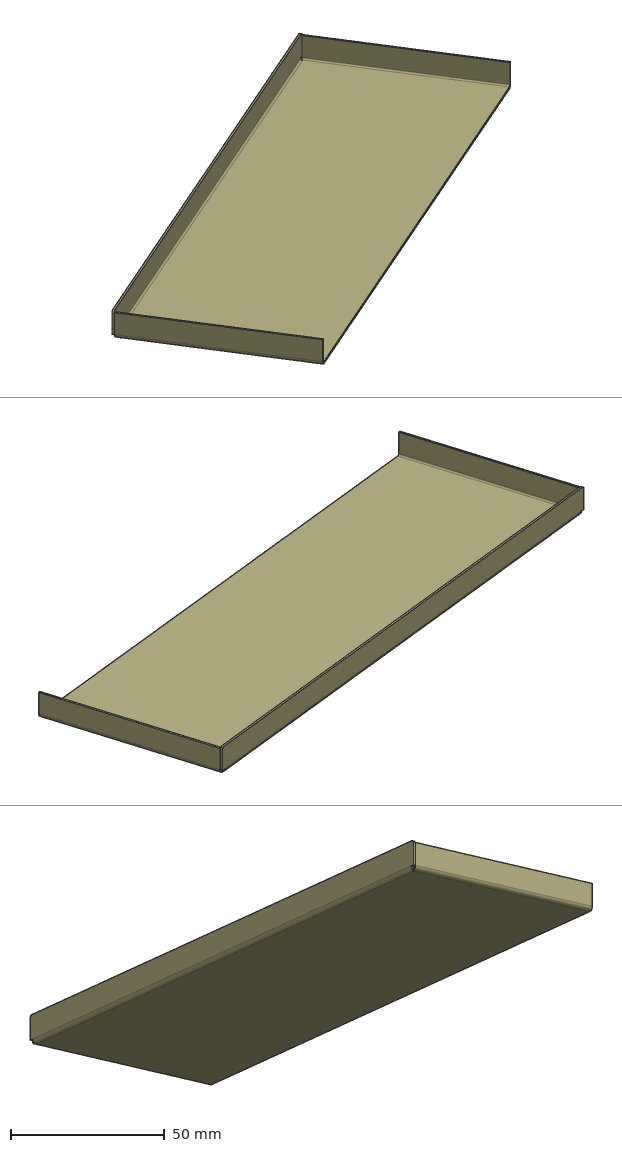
import cadquery as cq

LENGTH_X = 71.6
WIDTH_Y = 215.2
HEIGHT = 10.0
THICKNESS = 0.8
INNER_RADIUS = 0.6
SIDE_HEIGHT = 9.35
SIDE_GAP = 0.1
CORNER_RADIUS = 1.0

OUTER_RADIUS = INNER_RADIUS + THICKNESS
SIDE_START = THICKNESS + SIDE_GAP
HALF_WIDTH = WIDTH_Y / 2
FLOOR_LENGTH = LENGTH_X - OUTER_RADIUS
FLOOR_WIDTH = WIDTH_Y - 2 * OUTER_RADIUS


def bent_flange(section_plane, height, run):
    """Wall with its bend into the floor: outer wall face at 0, extruded by run."""
    return (
        section_plane.moveTo(OUTER_RADIUS, 0)
        .radiusArc((0, OUTER_RADIUS), OUTER_RADIUS)
        .lineTo(0, height)
        .lineTo(THICKNESS, height)
        .lineTo(THICKNESS, OUTER_RADIUS)
        .radiusArc((OUTER_RADIUS, THICKNESS), -INNER_RADIUS)
        .close()
        .extrude(run)
    )


def floor_plate():
    """Flat floor between the bends."""
    plate = cq.Workplane("XY").box(FLOOR_LENGTH, FLOOR_WIDTH, THICKNESS, centered=(False, True, False))
    return plate.translate((OUTER_RADIUS, 0, 0))


def end_wall():
    """Wall along the -X edge: floor-wide at its bend, full width above it, top corners rounded."""
    bend = bent_flange(cq.Workplane("XZ", origin=(0, FLOOR_WIDTH / 2, 0)), HEIGHT, FLOOR_WIDTH)
    wall_height = HEIGHT - OUTER_RADIUS
    wall = cq.Workplane("XY").box(THICKNESS, WIDTH_Y, wall_height, centered=(False, True, False))
    wall = wall.edges("|X and >Z").fillet(CORNER_RADIUS)
    return bend.union(wall.translate((0, 0, OUTER_RADIUS)))


def side_wall():
    """Wall along the -Y edge, a small gap clear of the end wall."""
    section_plane = cq.Workplane("YZ", origin=(SIDE_START, -HALF_WIDTH, 0))
    return bent_flange(section_plane, SIDE_HEIGHT, LENGTH_X - SIDE_START)


near_side = side_wall()
far_side = near_side.mirror("XZ")
result = floor_plate().union(end_wall()).union(near_side).union(far_side)